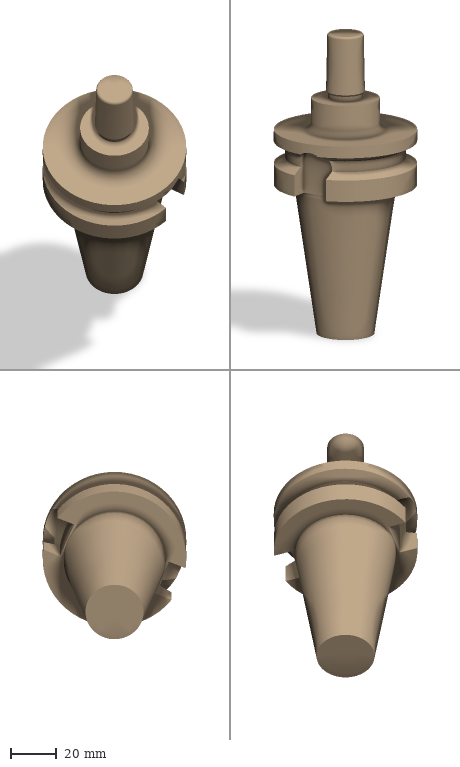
import cadquery as cq

TOTAL_HEIGHT = 135.8
TAPER_LENGTH = 65.5
FLANGE_BOTTOM = 67.4
GROOVE_CENTER = 82.0
FLANGE_TOP = 92.3
BOSS_TOP = 106.6
ARBOR_BASE = 109.7

GAUGE_RADIUS = 22.3
TAPER_RATIO = 7 / 24
SHANK_END_RADIUS = GAUGE_RADIUS - TAPER_LENGTH * TAPER_RATIO / 2

FLANGE_RADIUS = 31.5
GROOVE_RADIUS = 26.5
GROOVE_FLOOR_WIDTH = 4.9
GROOVE_MOUTH_WIDTH = 10.0

BOSS_RADIUS = 15.1
BOSS_FILLET = 3.0

NECK_RADIUS = 7.6
ARBOR_BASE_RADIUS = 8.5
ARBOR_TIP_RADIUS = 8.0
ARBOR_TIP_FILLET = 1.1
NECK_CHAMFER = ARBOR_BASE_RADIUS - NECK_RADIUS

SLOT_WIDTH = 16.0
SLOT_FLOOR_OFFSET = 22.5
SLOT_TOP = 88.4


def make_shank():
    """Conical shank and the short cylinder joining it to the flange."""
    return (
        cq.Workplane("XZ")
        .lineTo(SHANK_END_RADIUS, 0)
        .lineTo(GAUGE_RADIUS, TAPER_LENGTH)
        .lineTo(GAUGE_RADIUS, FLANGE_BOTTOM)
        .lineTo(0, FLANGE_BOTTOM)
        .close()
        .revolve(360, (0, 0, 0), (0, 1, 0))
    )


def make_flange():
    """Flange disc with the gripper groove around it."""
    return (
        cq.Workplane("XZ")
        .moveTo(0, FLANGE_BOTTOM)
        .lineTo(FLANGE_RADIUS, FLANGE_BOTTOM)
        .lineTo(FLANGE_RADIUS, GROOVE_CENTER - GROOVE_MOUTH_WIDTH / 2)
        .lineTo(GROOVE_RADIUS, GROOVE_CENTER - GROOVE_FLOOR_WIDTH / 2)
        .lineTo(GROOVE_RADIUS, GROOVE_CENTER + GROOVE_FLOOR_WIDTH / 2)
        .lineTo(FLANGE_RADIUS, GROOVE_CENTER + GROOVE_MOUTH_WIDTH / 2)
        .lineTo(FLANGE_RADIUS, FLANGE_TOP)
        .lineTo(0, FLANGE_TOP)
        .close()
        .revolve(360, (0, 0, 0), (0, 1, 0))
    )


def make_boss():
    """Cylindrical boss flaring out onto the flange."""
    return (
        cq.Workplane("XZ")
        .moveTo(0, FLANGE_TOP)
        .lineTo(BOSS_RADIUS + BOSS_FILLET, FLANGE_TOP)
        .radiusArc((BOSS_RADIUS, FLANGE_TOP + BOSS_FILLET), BOSS_FILLET)
        .lineTo(BOSS_RADIUS, BOSS_TOP)
        .lineTo(0, BOSS_TOP)
        .close()
        .revolve(360, (0, 0, 0), (0, 1, 0))
    )


def make_arbor():
    """Neck and tapered arbor with a rounded tip edge."""
    return (
        cq.Workplane("XZ")
        .moveTo(0, BOSS_TOP)
        .lineTo(NECK_RADIUS, BOSS_TOP)
        .lineTo(NECK_RADIUS, ARBOR_BASE - NECK_CHAMFER)
        .lineTo(ARBOR_BASE_RADIUS, ARBOR_BASE)
        .lineTo(ARBOR_TIP_RADIUS, TOTAL_HEIGHT)
        .lineTo(0, TOTAL_HEIGHT)
        .close()
        .revolve(360, (0, 0, 0), (0, 1, 0))
        .faces(">Z")
        .edges()
        .fillet(ARBOR_TIP_FILLET)
    )


def make_slot_cutter(side):
    """Round-topped slot, open downward, on the given side (-1 or +1) of X."""
    slot_radius = SLOT_WIDTH / 2
    arc_center = SLOT_TOP - slot_radius
    return (
        cq.Workplane("YZ", origin=(side * SLOT_FLOOR_OFFSET, 0, 0))
        .moveTo(-slot_radius, FLANGE_BOTTOM)
        .lineTo(-slot_radius, arc_center)
        .threePointArc((0, SLOT_TOP), (slot_radius, arc_center))
        .lineTo(slot_radius, FLANGE_BOTTOM)
        .close()
        .extrude(side * FLANGE_RADIUS)
    )


result = make_shank().union(make_flange()).union(make_boss()).union(make_arbor())
for side in (-1, 1):
    result = result.cut(make_slot_cutter(side))